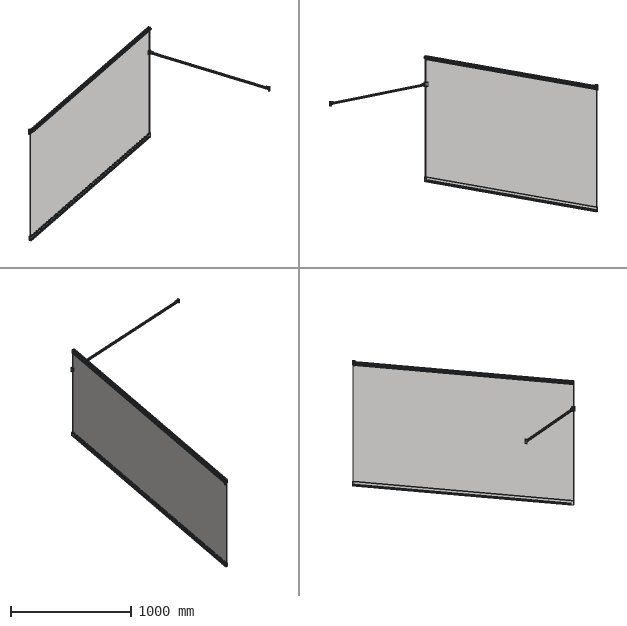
import cadquery as cq

total_width = 1187.57
total_length = 1955.35
total_height = 1075.08

glass_thickness = 8.0
glass_length = 1950.0
glass_bottom = 15.0

base_width = 20.0
base_height = 37.0
base_groove_height = 3.0
base_groove_depth = 7.0
base_groove_levels = (4.0, 10.5)
base_cap_length = 22.0

rail_front = -9.0
rail_back = 9.0
rail_start = 7.0
rail_height = 32.0
rail_top = total_height - 11.0
rail_groove_depth = 6.5
rail_grooves = ((8.5, 22.0), (25.0, 30.0))
rail_back_leg = 22.0
rail_ridge_positions = (-6.0, 0.0, 6.0)
rail_ridge_gap = 2.5
rail_ridge_depth = 2.0
lip_reach = 20.5
lip_thickness = 5.5
lip_drop = 8.0
lip_start = 22.0
lip_groove_position = 14.0
lip_groove_width = 3.0
lip_groove_depth = 2.0

hook_front = -20.5
hook_height = 48.0
hook_wall = 6.0
hook_roof = 8.5
hook_top_corner = 16.0
hook_bottom_corner = 9.0
hook_depth = 12.0
hook_tip_width = 3.0
hook_tip_taper = 4.0
hook_nub_reach = 14.5

clamp_front = -15.0
clamp_back = 10.0
clamp_depth = 20.0
clamp_height = 37.0
stay_level = 823.0

wall_face = hook_front + total_width
stay_size = 12.0
stay_inset = 12.0
flange_thickness = 6.0
flange_depth = 17.0
flange_height = 37.0
sleeve_rise = 6.0
sleeve_wall = 1.0
ear_reach = 27.0
clamp_sleeve_start = 20.0
clamp_sleeve_length = 19.0
flange_sleeve_inset = 34.0
flange_sleeve_length = 7.0
flange_neck_length = 12.0


def box(x_range, y_range, z_range):
    """Axis-aligned block between the given limits."""
    size = [end - start for start, end in (x_range, y_range, z_range)]
    corner = (x_range[0], y_range[0], z_range[0])
    return cq.Workplane("XY").box(*size, centered=False).translate(corner)


def make_glass():
    half = glass_thickness / 2
    return box((-half, half), (0, glass_length), (glass_bottom, rail_top - rail_height / 2))


def make_base_rail():
    half = base_width / 2
    rail = box((-half, half), (0, glass_length), (0, base_height))
    groove_end = glass_length - base_cap_length
    for level in base_groove_levels:
        levels = (level, level + base_groove_height)
        for side in (-1, 1):
            inner = side * (half - base_groove_depth)
            edges = sorted((inner, side * half))
            rail = rail.cut(box(edges, (0, groove_end), levels))
    return rail


def make_top_rail():
    length = (rail_start, glass_length)
    rail = box((rail_front, rail_back), length, (rail_top - rail_height, rail_top))
    depth = (rail_front, rail_front + rail_groove_depth)
    for upper, lower in rail_grooves:
        rail = rail.cut(box(depth, length, (rail_top - lower, rail_top - upper)))
    for position in rail_ridge_positions:
        width = (position - rail_ridge_gap / 2, position + rail_ridge_gap / 2)
        rail = rail.cut(box(width, length, (rail_top - rail_ridge_depth, rail_top)))
    back_step = (glass_thickness / 2, rail_back)
    rail = rail.cut(box(back_step, length, (rail_top - rail_height, rail_top - rail_back_leg)))
    lip_top = rail_top - lip_drop
    lip = box((0, lip_reach), (lip_start, glass_length), (lip_top - lip_thickness, lip_top))
    groove = (lip_groove_position - lip_groove_width / 2, lip_groove_position + lip_groove_width / 2)
    lip = lip.cut(box(groove, (lip_start, glass_length), (lip_top - lip_groove_depth, lip_top)))
    return rail.union(lip)


def make_hook():
    hook_bottom = total_height - hook_height
    depth = (0, hook_depth)
    hook = box((hook_front, rail_back), depth, (hook_bottom, total_height))
    back_step = (glass_thickness / 2, rail_back)
    hook = hook.cut(box(back_step, depth, (hook_bottom, rail_top - rail_back_leg)))
    hook = hook.edges("|Y and <X and >Z").fillet(hook_top_corner)
    hook = hook.edges("|Y and <Z and <X").fillet(hook_bottom_corner)
    opening = box(
        (hook_front + hook_wall, glass_thickness / 2),
        depth,
        (hook_bottom + hook_wall, total_height - hook_roof),
    )
    opening = opening.edges("|Y and <X and >Z").fillet(hook_top_corner - hook_wall)
    hook = hook.cut(opening)
    middle = hook_depth / 2
    plan = (
        cq.Workplane("XY", origin=(0, 0, hook_bottom))
        .moveTo(rail_back, 0)
        .lineTo(hook_front + hook_tip_taper, 0)
        .lineTo(hook_front, middle - hook_tip_width / 2)
        .lineTo(hook_front, middle + hook_tip_width / 2)
        .lineTo(hook_front + hook_tip_taper, hook_depth)
        .lineTo(rail_back, hook_depth)
        .close()
        .extrude(hook_height)
    )
    hook = hook.intersect(plan)
    lip_top = rail_top - lip_drop
    nub = box((0, hook_nub_reach), (rail_start, lip_start), (lip_top - lip_thickness, lip_top))
    return hook.union(nub)


def make_clamp():
    half = clamp_height / 2
    return box(
        (clamp_front, clamp_back),
        (total_length - clamp_depth, total_length),
        (stay_level - half, stay_level + half),
    )


def make_sleeve(start, length):
    """Rectangular sleeve around the stay bar, thicker on top."""
    stay_y = total_length - stay_inset
    half = stay_size / 2
    return box(
        (start, start + length),
        (stay_y - half - sleeve_wall, stay_y + half + sleeve_wall),
        (stay_level - half - sleeve_wall, stay_level + half + sleeve_rise),
    )


def make_stay():
    stay_y = total_length - stay_inset
    half = stay_size / 2
    levels = (stay_level - half, stay_level + half)
    bar = box((clamp_back, wall_face), (stay_y - half, stay_y + half), levels)
    ear = box((clamp_back, ear_reach), (stay_y - half, total_length), levels)
    flange = box(
        (wall_face - flange_thickness, wall_face),
        (stay_y - flange_depth / 2, stay_y + flange_depth / 2),
        (stay_level - flange_height / 2, stay_level + flange_height / 2),
    )
    stay = bar.union(ear).union(flange)
    clamp_sleeve = make_sleeve(clamp_sleeve_start, clamp_sleeve_length)
    flange_sleeve = make_sleeve(wall_face - flange_sleeve_inset, flange_sleeve_length)
    neck = make_sleeve(wall_face - flange_thickness - flange_neck_length, flange_neck_length)
    return stay.union(clamp_sleeve).union(flange_sleeve).union(neck)


result = make_glass()
for component in (make_base_rail(), make_top_rail(), make_hook(), make_clamp(), make_stay()):
    result = result.union(component)